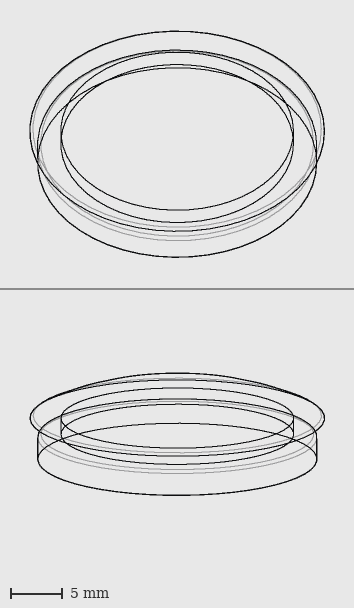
import cadquery as cq
import math

cap_diameter = 28.5
total_height = 7.5

base_diameter = 27.0
base_height = 2.5
base_edge_radius = 0.3
neck_diameter = 22.5
neck_height = 1.62

rim_height = 0.25
rim_inset = 0.3

cap_radius = cap_diameter / 2
cap_bottom = base_height + neck_height
dome_edge_radius = cap_radius - rim_inset
dome_edge_height = cap_bottom + rim_height

dome_rise = total_height - dome_edge_height
sphere_radius = (dome_edge_radius**2 + dome_rise**2) / (2 * dome_rise)
sphere_center = total_height - sphere_radius
dome_half_angle = math.asin(dome_edge_radius / sphere_radius) / 2
dome_middle = (
    sphere_radius * math.sin(dome_half_angle),
    sphere_center + sphere_radius * math.cos(dome_half_angle),
)


def make_base():
    disc = cq.Workplane("XY").circle(base_diameter / 2).extrude(base_height)
    return disc.faces(">Z").edges().fillet(base_edge_radius)


def make_neck():
    return cq.Workplane("XY").circle(neck_diameter / 2).extrude(cap_bottom)


def make_cap():
    profile = (
        cq.Workplane("XZ")
        .moveTo(0, cap_bottom)
        .lineTo(cap_radius, cap_bottom)
        .lineTo(dome_edge_radius, dome_edge_height)
        .threePointArc(dome_middle, (0, total_height))
        .close()
    )
    return profile.revolve(360, (0, 0, 0), (0, 1, 0))


result = make_base().union(make_neck()).union(make_cap())